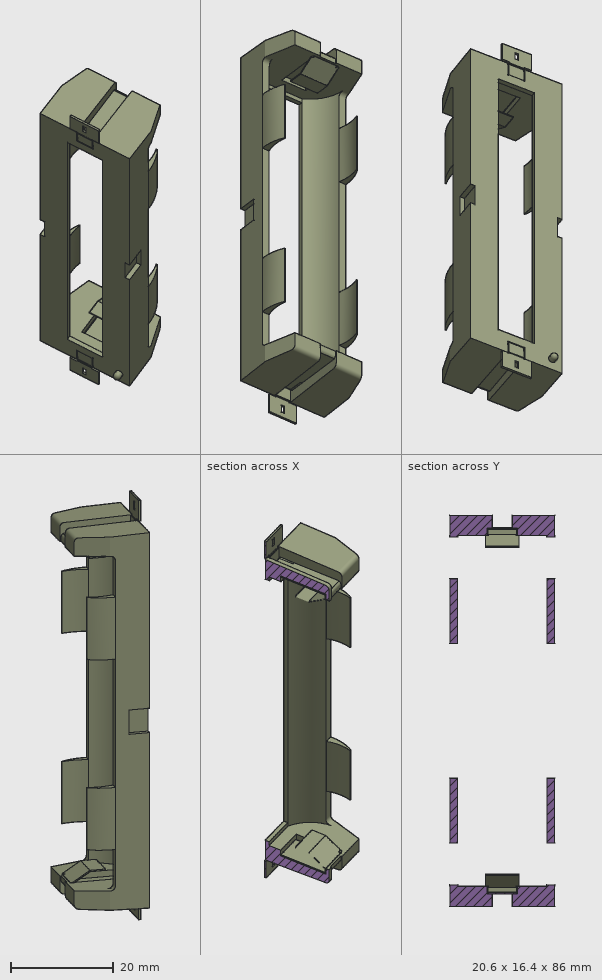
import cadquery as cq
import math


housing_width = 20.6
housing_length = 77.05
rail_height = 7.0
end_wall_height = 14.8
end_wall_thickness = 4.2
end_wall_draft = 0.4
end_wall_fillet = 0.95
inner_corner_radius = 1.0
taper_start_height = 8.0
end_wall_top_width = 16.5

trough_axis_height = 8.7
trough_radius = 8.8
floor_thickness = 0.95
window_width = 8.1
window_length = 66.7

clip_length = 12.7
clip_center_z = 19.5
clip_top_height = 12.4
clip_outer_radius = 10.3
clip_outer_axis_height = 7.4
clip_inner_radius = 9.1
clip_inner_axis_height = 9.9

notch_depth = 1.0
notch_height = 4.2
notch_length = 5.0
peg_diameter = 1.55
peg_length = 1.6
peg_x = 8.0
peg_z = -35.9

overall_length = 86.0
tab_thickness = 0.4
spring_thickness = 0.3
blade_width = 6.6
tab_root_gap = 0.3
tongue_width = 3.35
tongue_bend_radius = 0.35
plate_width = 5.5
strip_inner_z = 35.5
solder_hole_width = 0.8
solder_hole_length = 1.6
solder_hole_z = 41.0
spring_fold_height = 14.0
spring_fold_z = 34.4
spring_bend_height = 10.15
spring_bend_z = 32.0
spring_end_height = 7.0

channel_width = 3.9
channel_floor_z = 35.95
channel_web_fillet = 0.8
channel_web_drop = 0.3
recess_depth = 0.5
pocket_width = 5.85
pocket_base_height = 3.6

half_width = housing_width / 2
half_length = housing_length / 2
half_overall = overall_length / 2
wall_inner_z = half_length - end_wall_thickness
strip_outer_z = strip_inner_z + spring_thickness
peg_radius = peg_diameter / 2


def box(x_range, y_range, z_range):
    """Axis-aligned block from (low, high) pairs."""
    sizes = [high - low for low, high in (x_range, y_range, z_range)]
    lows = (x_range[0], y_range[0], z_range[0])
    return cq.Workplane("XY").box(*sizes, centered=False).translate(lows)


def centered_box(width, y_range, z_range):
    """Block centred on X = 0."""
    return box((-width / 2, width / 2), y_range, z_range)


def extrude_side_profile(points, width):
    """Extrude a closed (y, z) outline evenly to both sides of X = 0."""
    return cq.Workplane("YZ").polyline(points).close().extrude(width / 2, both=True)


def at_both_ends(upper):
    """The +Z feature together with its mirror image at the -Z end."""
    return upper.union(upper.mirror("XY"))


def end_wall():
    """Upper end wall with a leaning outer face and a rounded top outer edge."""
    top_outer_z = half_length - end_wall_draft
    outline = [
        (0, wall_inner_z),
        (end_wall_height, wall_inner_z),
        (end_wall_height, top_outer_z),
        (0, half_length),
    ]
    wall = extrude_side_profile(outline, housing_width)
    top_outer_edge = cq.selectors.NearestToPointSelector((0, end_wall_height, top_outer_z))
    return wall.edges(top_outer_edge).fillet(end_wall_fillet)


def corner_web():
    """Concave fillet between the upper end wall and the rails."""
    r = inner_corner_radius
    block = centered_box(housing_width, (rail_height, rail_height + r), (wall_inner_z - r, wall_inner_z))
    cutter = (
        cq.Workplane("YZ")
        .center(rail_height + r, wall_inner_z - r)
        .circle(r)
        .extrude(half_width, both=True)
    )
    return block.cut(cutter)


def end_face_outline():
    """Cross-section of the end walls, with sides narrowing toward the top."""
    half_top = end_wall_top_width / 2
    return (
        cq.Workplane("XY")
        .polyline([
            (-half_width, 0),
            (half_width, 0),
            (half_width, taper_start_height),
            (half_top, end_wall_height),
            (-half_top, end_wall_height),
            (-half_width, taper_start_height),
        ])
        .close()
        .extrude(half_length, both=True)
    )


def bar_along_z(radius, axis_height, length):
    """Round bar parallel to the cell, centred on Z = 0."""
    return cq.Workplane("XY").center(0, axis_height).circle(radius).extrude(length / 2, both=True)


def trough():
    """Round cell space with a flattened floor."""
    bar = bar_along_z(trough_radius, trough_axis_height, 2 * wall_inner_z)
    above_floor = centered_box(
        housing_width,
        (floor_thickness, trough_axis_height + trough_radius),
        (-wall_inner_z, wall_inner_z),
    )
    return bar.intersect(above_floor)


def side_clips():
    """Two pairs of arms that curve over the cell from the rails."""
    outer = bar_along_z(clip_outer_radius, clip_outer_axis_height, clip_length)
    inner = bar_along_z(clip_inner_radius, clip_inner_axis_height, clip_length)
    arm_heights = centered_box(housing_width, (rail_height, clip_top_height), (-clip_length, clip_length))
    arms = outer.cut(inner).intersect(arm_heights)
    return at_both_ends(arms.translate((0, 0, clip_center_z)))


def locating_peg():
    """Round peg with a hemispherical tip on the back face."""
    shank = peg_length - peg_radius
    return (
        cq.Workplane("XY")
        .moveTo(0, 0)
        .lineTo(peg_radius, 0)
        .lineTo(peg_radius, -shank)
        .radiusArc((0, -peg_length), peg_radius)
        .close()
        .revolve(360, (0, 0, 0), (0, 1, 0))
        .translate((peg_x, 0, peg_z))
    )


def channel_web_cutter():
    """Lowers the web behind the channel and rounds its top outer edge."""
    web_height = end_wall_height - channel_web_drop
    web = centered_box(channel_width, (0, web_height), (wall_inner_z, channel_floor_z))
    web = web.edges(">Y and >Z").fillet(channel_web_fillet)
    return centered_box(channel_width, (0, end_wall_height), (wall_inner_z, channel_floor_z)).cut(web)


def contact_openings():
    """Outer channel, back recess, strip slot and inner pocket of the upper end wall."""
    channel = centered_box(channel_width, (0, end_wall_height), (channel_floor_z, half_length))
    channel = channel.union(channel_web_cutter())
    recess = centered_box(channel_width, (0, recess_depth), (strip_inner_z, half_length))
    slot = centered_box(tongue_width, (0, pocket_base_height), (strip_inner_z, strip_outer_z))
    pocket = centered_box(pocket_width, (pocket_base_height, spring_fold_height), (wall_inner_z, strip_outer_z))
    return channel.union(recess).union(slot).union(pocket)


def side_notches():
    notches = cq.Workplane("XY")
    for side in (-1, 1):
        notch = centered_box(2 * notch_depth, (0, notch_height), (-notch_length / 2, notch_length / 2))
        notches = notches.add(notch.translate((side * half_width, 0, 0)))
    return notches.combine()


def make_housing():
    rails = centered_box(housing_width, (0, rail_height), (-wall_inner_z, wall_inner_z))
    end_walls = at_both_ends(end_wall().union(corner_web())).intersect(end_face_outline())
    window = centered_box(window_width, (0, trough_axis_height), (-window_length / 2, window_length / 2))
    return (
        rails.union(end_walls)
        .union(side_clips())
        .cut(trough())
        .cut(window)
        .cut(side_notches())
        .cut(at_both_ends(contact_openings()))
        .union(locating_peg())
    )


def folded_spring():
    """Plate standing in the pocket, folded at its top into an arm that slants down to a flat end."""
    t = spring_thickness
    slope = math.atan2(spring_fold_z - spring_bend_z, spring_fold_height - spring_bend_height)
    arm_outer_z = spring_fold_z + t / math.cos(slope) - t * math.tan(slope)
    bend_offset = t * math.tan(slope / 2)
    outline = [
        (spring_end_height, spring_bend_z),
        (spring_bend_height, spring_bend_z),
        (spring_fold_height, spring_fold_z),
        (spring_fold_height, strip_outer_z),
        (pocket_base_height, strip_outer_z),
        (pocket_base_height, strip_inner_z),
        (spring_fold_height - t, strip_inner_z),
        (spring_fold_height - t, arm_outer_z),
        (spring_bend_height - bend_offset, spring_bend_z + t),
        (spring_end_height, spring_bend_z + t),
    ]
    cell_side = centered_box(blade_width, (0, end_wall_height), (0, wall_inner_z))
    wide_arm = extrude_side_profile(outline, blade_width).intersect(cell_side)
    return extrude_side_profile(outline, plate_width).union(wide_arm)


def make_contact():
    """Upper contact: solder tab, tongue, upright strip and folded spring from one sheet."""
    tab_heights = (-tab_thickness / 2, tab_thickness / 2)
    tab_root_z = half_length + tab_root_gap
    tab = centered_box(blade_width, tab_heights, (tab_root_z, half_overall))
    solder_hole = centered_box(
        solder_hole_width,
        tab_heights,
        (solder_hole_z - solder_hole_length / 2, solder_hole_z + solder_hole_length / 2),
    )
    tab_root = centered_box(tongue_width, tab_heights, (half_length, tab_root_z))
    tongue = centered_box(tongue_width, (0, tab_thickness), (strip_inner_z, half_length))
    tongue = tongue.edges("<Y and <Z").fillet(tongue_bend_radius)
    strip = centered_box(tongue_width, (tab_thickness, pocket_base_height), (strip_inner_z, strip_outer_z))
    return (
        tab.cut(solder_hole)
        .union(tab_root)
        .union(tongue)
        .union(strip)
        .union(folded_spring())
    )


housing = make_housing()
upper_contact = make_contact()
contacts = [upper_contact, upper_contact.mirror("XY")]

result = cq.Compound.makeCompound([housing.solids().val(), *[contact.solids().val() for contact in contacts]])